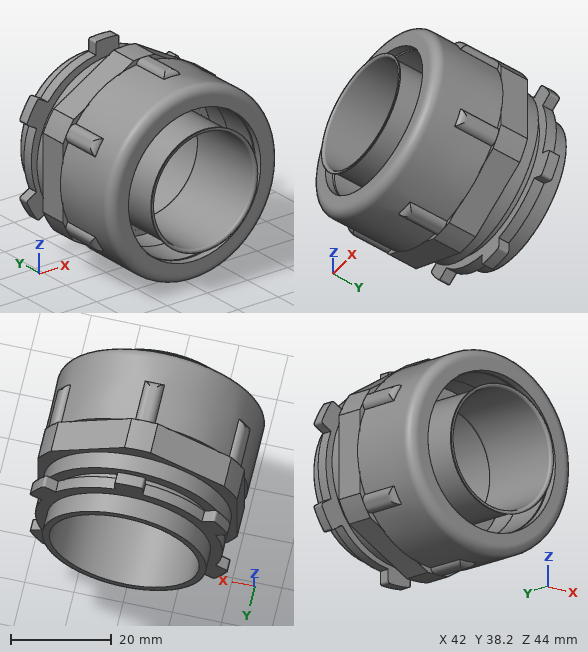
import cadquery as cq
import math


HEX_LENGTH = 6.5
GASKET_LENGTH = 3.5
GASKET_BACK_Y = HEX_LENGTH + GASKET_LENGTH
THREAD_END_Y = 18.55
LOCKNUT_FRONT_Y = 12.0
LOCKNUT_THICKNESS = 2.4
NUT_FRONT_Y = -16.4
NUT_LIP_THICKNESS = 1.75
CLAMP_RING_GAP = 0.45
NUT_LIP_BACK_Y = NUT_FRONT_Y + NUT_LIP_THICKNESS
CLAMP_RING_FRONT_Y = NUT_LIP_BACK_Y + CLAMP_RING_GAP
CLAMP_RING_BACK_Y = -6.15
FERRULE_LIP_Y = -19.7

THREAD_DIAMETER = 33.25
THREAD_BORE_DIAMETER = 30.5
CONDUIT_SOCKET_DIAMETER = 33.0
SPIGOT_DIAMETER = 36.8
HEX_ACROSS_FLATS = 40.45
HEX_ACROSS_CORNERS = 44.0
CORNER_COUNT = 6
FIRST_CORNER_ANGLE = 30

GASKET_DIAMETER = 38.15
LOCKNUT_RING_DIAMETER = 38.0
LUG_TIP_DIAMETER = 43.65
LUG_WIDTH = 5.7
LUG_CORNER_RADIUS = 0.53

NUT_FRONT_DIAMETER = 42.0
NUT_BACK_DIAMETER = 41.85
NUT_FRONT_FILLET = 2.02
NUT_MOUTH_DIAMETER = 33.0
RIB_LENGTH = 9.05
RIB_WIDTH = 4.05
RIB_EDGE_RADIUS = 1.5

TUBE_DIAMETER = 25.5
SHEET_THICKNESS = 0.25
LIP_DIAMETER = 26.5
LIP_INNER_BEND = 0.53
FLANGE_BEND_DIAMETER = 28.0

CORNER_ANGLES = [FIRST_CORNER_ANGLE + 360 / CORNER_COUNT * i for i in range(CORNER_COUNT)]


def disc(diameter, start_y, end_y):
    """Cylinder on the Y axis from start_y up to end_y."""
    plane = cq.Workplane("XZ", origin=(0, end_y, 0))
    return plane.circle(diameter / 2).extrude(end_y - start_y)


def tube(outer_diameter, inner_diameter, start_y, end_y):
    return disc(outer_diameter, start_y, end_y).cut(disc(inner_diameter, start_y, end_y))


def revolve_about_y(profile):
    return profile.close().revolve(360, (0, 0, 0), (0, 1, 0))


def turned_to(shape, angle):
    """Turn a shape that points along +X to the given angle, measured from +X towards +Z."""
    return shape.rotate((0, 0, 0), (0, 1, 0), -angle)


def make_body():
    """Hexagon with rounded corners, threaded tail and a spigot that holds the conduit socket."""
    sharp_corner_diameter = HEX_ACROSS_FLATS / math.cos(math.pi / CORNER_COUNT)
    hexagon = (
        cq.Workplane("XZ", origin=(0, HEX_LENGTH, 0))
        .polygon(CORNER_COUNT, sharp_corner_diameter)
        .extrude(HEX_LENGTH)
        .rotate((0, 0, 0), (0, 1, 0), FIRST_CORNER_ANGLE)
        .intersect(disc(HEX_ACROSS_CORNERS, 0, HEX_LENGTH))
    )
    thread = disc(THREAD_DIAMETER, HEX_LENGTH, THREAD_END_Y)
    spigot = disc(SPIGOT_DIAMETER, CLAMP_RING_BACK_Y, 0)
    socket = disc(CONDUIT_SOCKET_DIAMETER, CLAMP_RING_BACK_Y, 0)
    bore = disc(THREAD_BORE_DIAMETER, 0, THREAD_END_Y)
    return hexagon.union(thread).union(spigot).cut(socket).cut(bore)


def make_gasket():
    return tube(GASKET_DIAMETER, THREAD_DIAMETER, HEX_LENGTH, GASKET_BACK_Y)


def make_locknut():
    """Ring with straight-sided lugs, in line with the corners of the hexagon."""
    back_y = LOCKNUT_FRONT_Y + LOCKNUT_THICKNESS
    blank = disc(LUG_TIP_DIAMETER, LOCKNUT_FRONT_Y, back_y)
    bar_length = LUG_TIP_DIAMETER / 2
    bar = cq.Workplane("XY").box(bar_length, LOCKNUT_THICKNESS, LUG_WIDTH, centered=(False, False, True))
    bar = bar.translate((0, LOCKNUT_FRONT_Y, 0))
    lug = bar.intersect(blank).edges("|Y and (>Z or <Z) and (not <X)").fillet(LUG_CORNER_RADIUS)
    locknut = disc(LOCKNUT_RING_DIAMETER, LOCKNUT_FRONT_Y, back_y)
    for angle in CORNER_ANGLES:
        locknut = locknut.union(turned_to(lug, angle))
    return locknut.cut(disc(THREAD_DIAMETER, LOCKNUT_FRONT_Y, back_y))


def make_nut_rib():
    """Grip rib along +X, rooted inside the nut wall, with rounded sides and front end."""
    height = (HEX_ACROSS_CORNERS - SPIGOT_DIAMETER) / 2
    rib = cq.Workplane("XY").box(height, RIB_LENGTH, RIB_WIDTH, centered=(False, False, True))
    rib = rib.translate((SPIGOT_DIAMETER / 2, -RIB_LENGTH, 0))
    return rib.faces(">X").edges("not >Y").fillet(RIB_EDGE_RADIUS)


def make_gland_nut():
    """Slightly tapered nut with a rounded front, six ribs and a lip that holds the clamp ring."""
    outside = revolve_about_y(
        cq.Workplane("XY")
        .lineTo(NUT_BACK_DIAMETER / 2, 0)
        .lineTo(NUT_FRONT_DIAMETER / 2, NUT_FRONT_Y + NUT_FRONT_FILLET)
        .radiusArc((NUT_FRONT_DIAMETER / 2 - NUT_FRONT_FILLET, NUT_FRONT_Y), NUT_FRONT_FILLET)
        .lineTo(0, NUT_FRONT_Y)
    )
    rib = make_nut_rib()
    for angle in CORNER_ANGLES:
        outside = outside.union(turned_to(rib, angle))
    cavity = disc(SPIGOT_DIAMETER, NUT_LIP_BACK_Y, 0)
    mouth = disc(NUT_MOUTH_DIAMETER, NUT_FRONT_Y, NUT_LIP_BACK_Y)
    return outside.cut(cavity).cut(mouth)


def make_clamp_ring():
    return tube(SPIGOT_DIAMETER, CONDUIT_SOCKET_DIAMETER, CLAMP_RING_FRONT_Y, CLAMP_RING_BACK_Y)


def make_ferrule():
    """Thin tube flared at its front lip and bent out at its back into a flange in the socket."""
    outer = TUBE_DIAMETER / 2
    inner = outer - SHEET_THICKNESS
    lip = LIP_DIAMETER / 2
    lip_outer_bend = LIP_INNER_BEND - SHEET_THICKNESS
    lip_bend_edge = inner + LIP_INNER_BEND
    flange = CONDUIT_SOCKET_DIAMETER / 2
    flange_bend_edge = FLANGE_BEND_DIAMETER / 2
    flange_outer_bend = flange_bend_edge - outer
    flange_inner_bend = flange_bend_edge - inner
    lip_bend_start_y = FERRULE_LIP_Y + LIP_INNER_BEND
    flange_front_y = -SHEET_THICKNESS
    return revolve_about_y(
        cq.Workplane("XY")
        .moveTo(lip, FERRULE_LIP_Y)
        .lineTo(lip, FERRULE_LIP_Y + SHEET_THICKNESS)
        .lineTo(lip_bend_edge, FERRULE_LIP_Y + SHEET_THICKNESS)
        .radiusArc((outer, lip_bend_start_y), lip_outer_bend)
        .lineTo(outer, flange_front_y - flange_outer_bend)
        .radiusArc((flange_bend_edge, flange_front_y), flange_outer_bend)
        .lineTo(flange, flange_front_y)
        .lineTo(flange, 0)
        .lineTo(flange_bend_edge, 0)
        .radiusArc((inner, -flange_inner_bend), -flange_inner_bend)
        .lineTo(inner, lip_bend_start_y)
        .radiusArc((lip_bend_edge, FERRULE_LIP_Y), -LIP_INNER_BEND)
    )


body = make_body()
gasket = make_gasket()
locknut = make_locknut()
gland_nut = make_gland_nut()
clamp_ring = make_clamp_ring()
ferrule = make_ferrule()

result = cq.Compound.makeCompound(
    [body.val(), gasket.val(), locknut.val(), gland_nut.val(), clamp_ring.val(), ferrule.val()]
)